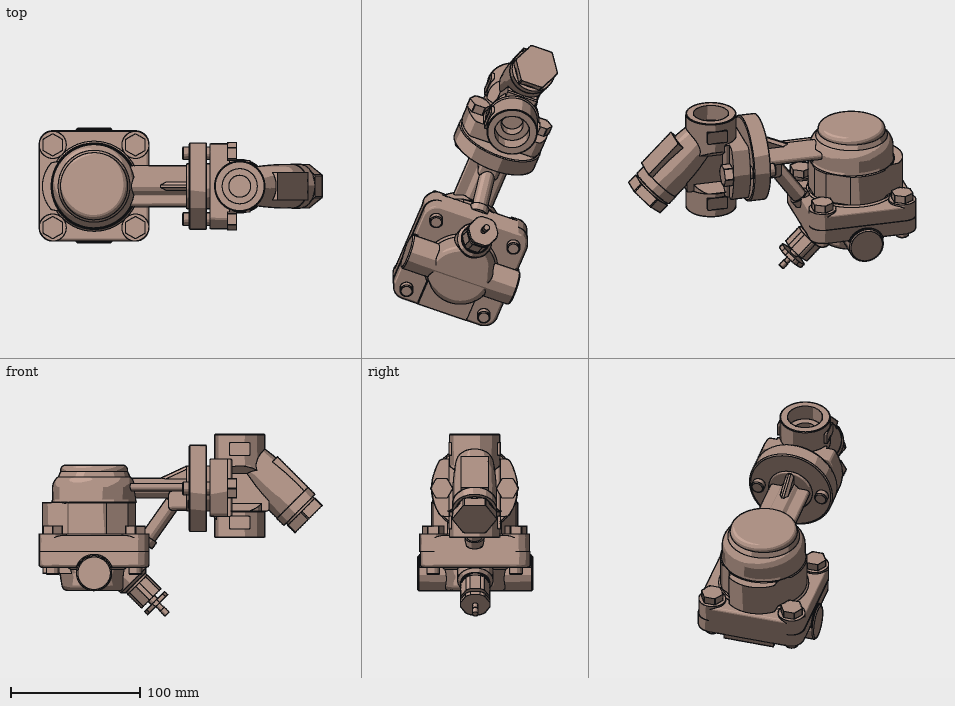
import cadquery as cq
import math


BOLT_PITCH = 64.0
FLANGE_CORNER_R = 10.5
FLANGE_SIDE = BOLT_PITCH + 2 * FLANGE_CORNER_R
UPPER_FLANGE_T = 12.4
LOWER_FLANGE_T = 12.0
FLANGE_EDGE_R = 2.0
PAD_TOP_Z = 13.8
LOWER_Y = 0.5

BOLT_HEX_AF = 15.0
BOLT_CORNER_D = 17.0
BOLT_D = 10.0
BOLT_HEAD_H = 6.0
BOLT_TIP_Z = -17.7
BOLT_TIP_CHAMFER = 0.8

BARREL_R = 33.5
BARREL_TOP_Z = 38.6
BARREL_RIM_CHAMFER = 0.8
BARREL_FOOT_R = 1.4
BARREL_MAX_X = 32.1
LOBE_TOP_Z = 38.0
LOBE_EDGE_R = 3.0
COVE_EDGE_R = 2.0
LOBE_R = 27.0
LOBE_X = -13.0
BOLT_COVE_R = 13.5
FLAT_START_X = 9.7
FLAT_END_X = 26.2
CAP_R = 32.2
CAP_BASE_Z = 40.4
SHOULDER_Z = 50.0
SHOULDER_TOP_R = 27.8
SHOULDER_TOP_Z = 58.0
SHOULDER_BULGE = 0.9
CROWN_R = 26.0
CROWN_BASE_Z = 62.0
CROWN_TOP_Z = 67.1
CROWN_EDGE_R = 4.0

BOWL_TOP_R = 27.0
BOWL_BOTTOM_R = 24.3
BOWL_BOTTOM_Z = -30.0
BOWL_EDGE_R = 4.5
BOWL_FLARE = 1.7
RIDGE_X = -39.7
RIDGE_WIDTH = 40.0
RIDGE_Z = -16.7
PIPE_END_D = 27.2
PIPE_END_LENGTH = 89.0
PIPE_END_CHAMFER = 1.0
PIPE_END_Z = -16.6
PIPE_COLLAR_R = 14.6
PIPE_COLLAR_PROUD = 0.7
PIPE_COLLAR_LENGTH = FLANGE_SIDE + 2 * PIPE_COLLAR_PROUD

BLOWDOWN_X = 33.6
BLOWDOWN_Z = -25.4
BLOWDOWN_BOSS_D = 27.4
BLOWDOWN_BOSS_START = -18.0
BLOWDOWN_BOSS_END = -2.1
BLOWDOWN_BOSS_CHAMFER = 2.4
BLOWDOWN_NECK_D = 21.0
BLOWDOWN_NUT_AF = 21.4
BLOWDOWN_NUT_CORNER_D = 22.8
BLOWDOWN_NUT_LENGTH = 15.1
HANDLE_AF = 22.0
HANDLE_CORNER_D = 23.2
HANDLE_START = 18.6
HANDLE_END = 22.1
STEM_D = 7.0
TIP_NECK_D = 4.0
TIP_NECK_END = 27.0
TIP_D = 4.6
LOWEST_Z = -49.85

HUB_Z = 49.0
ARM_Z = 49.2
ARM_D = 15.6
ARM_FILLET_R = 1.5
ARM_START_X = 20.0
HUB_START_X = 71.5
WING_WIDTH = 32.0
WING_T = 6.0
WING_Z = 49.9
GUSSET_START_X = 51.5
GUSSET_TOP_Z = 66.3
GUSSET_T = 6.4
GUSSET_CHAMFER = 2.3
BLOCK_START_X = 57.5
BLOCK_WIDTH = 16.0
BLOCK_BOTTOM_Z = 32.0
BLOCK_EDGE_R = 3.0
BRACE_D = 12.0
BRACE_FOOT_D = 15.0
BRACE_FOOT_LENGTH = 6.0
BRACE_TOP_X = 61.0
BRACE_TOP_Z = 38.0
BRACE_FOOT_X = 38.8
BRACE_FOOT_Z = 6.5

HUB_D = 35.0
HUB_EDGE_R = 1.0
ROUND_FLANGE_D = 67.0
ROUND_FLANGE_START_X = 73.6
ROUND_FLANGE_END_X = 87.1
ROUND_FLANGE_CHAMFER = 1.2
OVAL_START_X = 89.6
OVAL_END_X = 103.4
OVAL_WIDTH = 66.0
OVAL_FLAT_WIDTH = 52.8
OVAL_HEIGHT = 44.4
OVAL_CORNER_R = 4.0
OVAL_Z = 49.6
OVAL_EDGE_R = 1.0
JOINT_BOLT_PITCH = 51.0
JOINT_BOLT_TIP_X = 68.4
JOINT_BOLT_HEAD_H = 6.9

VALVE_X = 112.7
SPIGOT_D = 39.0
VALVE_TOP_Z = 91.11
VALVE_BOTTOM_Z = 11.0
SPIGOT_CHAMFER = 0.6
BODY_R = 20.8
BODY_WIDTH = 40.0
BODY_BOTTOM_Z = 31.5
BODY_STEP = 0.6
WAIST_HALF_WIDTH = 12.0
WAIST_BOTTOM_Z = 37.5
WAIST_TOP_Z = 60.4
WAIST_SLOPE_HEIGHT = 6.0
WAIST_LENGTH = 22.6
WAIST_CHAMFER = 1.0
SOCKET_D = 27.2
SOCKET_DEPTH = 12.5
PORT_D = 17.0
PORT_DEPTH = 22.0
LABEL_WIDTH = 16.0
LABEL_HEIGHT = 10.0
LABEL_CORNER_R = 1.2
LABEL_CENTRE_FROM_END = 11.6
BACK_PLATE_T = 3.3
BACK_PLATE_EDGE_R = 1.5
WEB_HALF_WIDTH = 8.0
WEB_HALF_HEIGHT = 25.0
WEB_SLOPE = 5.5

BRANCH_Z = 78.6
BRANCH_START = 4.0
BRANCH_START_R = 13.0
BRANCH_MID = 30.0
BRANCH_MID_R = 16.2
BRANCH_END_R = 16.8
COLLAR_START = 57.7
COLLAR_R = 17.1
COLLAR_END = 65.4
CAP_NECK_END = 67.4
CAP_NECK_R = 14.5
BRANCH_HEX_AF = 30.0
BRANCH_HEX_CORNER_D = 34.0
BRANCH_HEX_END = 75.4
BRANCH_PAD_START = 24.2
BRANCH_PAD_WIDTH = 21.4
BRANCH_PAD_OFFSET = 17.1
BRANCH_PAD_BASE = 6.0


def corner_diameter(across_flats):
    """Corner to corner diameter of a hexagon."""
    return across_flats / math.cos(math.pi / 6)


def cylinder_z(x, y, diameter, z0, z1):
    return cq.Workplane("XY", origin=(x, y, z0)).circle(diameter / 2).extrude(z1 - z0)


def cylinder_x(y, z, diameter, x0, x1):
    return cq.Workplane("YZ", origin=(x0, y, z)).circle(diameter / 2).extrude(x1 - x0)


def box(x0, x1, width, z0, z1):
    """Box between X and Z limits, centred on Y = 0."""
    return cq.Workplane("XY").box(x1 - x0, width, z1 - z0).translate(((x0 + x1) / 2, 0, (z0 + z1) / 2))


def diagonal_plane(x, z, along):
    """Plane square to the downward 45 degree axis through (x, z); its local X is the part's Y."""
    shift = along / math.sqrt(2)
    return cq.Plane(origin=(x + shift, 0, z - shift), xDir=(0, 1, 0), normal=(1, 0, -1))


def diagonal_cylinder(x, z, diameter, start, end):
    return cq.Workplane(diagonal_plane(x, z, start)).circle(diameter / 2).extrude(end - start)


def diagonal_hexagon(x, z, across_flats, corner_d, start, end):
    """Hexagon on the diagonal axis with its corners trimmed to a circle."""
    hexagon = (
        cq.Workplane(diagonal_plane(x, z, start))
        .polygon(6, corner_diameter(across_flats))
        .extrude(end - start)
    )
    return hexagon.intersect(diagonal_cylinder(x, z, corner_d, start, end))


def bolt_positions():
    half = BOLT_PITCH / 2
    return [(sx * half, sy * half) for sx in (-1, 1) for sy in (-1, 1)]


def bolt_head(plane, height):
    """Hexagon head whose corners are trimmed to a circle."""
    hexagon = plane.polygon(6, corner_diameter(BOLT_HEX_AF)).extrude(height)
    return hexagon.intersect(plane.circle(BOLT_CORNER_D / 2).extrude(height))


def flange_plate(thickness):
    plate = cq.Workplane("XY").rect(FLANGE_SIDE, FLANGE_SIDE).extrude(thickness)
    return plate.edges("|Z").fillet(FLANGE_CORNER_R)


def square_flanges():
    upper = flange_plate(UPPER_FLANGE_T).faces(">Z").edges().fillet(FLANGE_EDGE_R)
    for x, y in bolt_positions():
        upper = upper.union(cylinder_z(x, y, 2 * FLANGE_CORNER_R, 0, PAD_TOP_Z))
    lower = flange_plate(-LOWER_FLANGE_T).faces("<Z").edges().fillet(FLANGE_EDGE_R)
    return upper.union(lower.translate((0, LOWER_Y, 0)))


def flange_bolts():
    bolts = cq.Workplane("XY")
    for x, y in bolt_positions():
        shank = cylinder_z(x, y, BOLT_D, BOLT_TIP_Z, PAD_TOP_Z).faces("<Z").chamfer(BOLT_TIP_CHAMFER)
        head_plane = cq.Workplane(cq.Plane((x, y, PAD_TOP_Z), xDir=(0, 1, 0), normal=(0, 0, 1)))
        bolts = bolts.union(shank).union(bolt_head(head_plane, BOLT_HEAD_H))
    return bolts


def barrel():
    """Round barrel with a lobe on the -X side, coves around the -X bolts and flats by the +X bolts."""
    lobe = cylinder_z(LOBE_X, 0, 2 * LOBE_R, 0, LOBE_TOP_Z)
    shape = cylinder_z(0, 0, 2 * BARREL_R, 0, BARREL_TOP_Z)
    shape = shape.intersect(box(-BARREL_R, BARREL_MAX_X, 2 * BARREL_R, 0, BARREL_TOP_Z))
    flat_start_y = math.sqrt(BARREL_R**2 - FLAT_START_X**2)
    flat_end_y = math.sqrt(BARREL_R**2 - FLAT_END_X**2)
    for side in (-1, 1):
        cove = cylinder_z(-BOLT_PITCH / 2, side * BOLT_PITCH / 2, 2 * BOLT_COVE_R, 0, BARREL_TOP_Z)
        wedge = (
            cq.Workplane("XY")
            .moveTo(FLAT_START_X, side * flat_start_y)
            .lineTo(FLAT_END_X, side * flat_end_y)
            .lineTo(FLAT_END_X, side * 2 * BARREL_R)
            .lineTo(FLAT_START_X, side * 2 * BARREL_R)
            .close()
            .extrude(BARREL_TOP_Z)
        )
        shape = shape.cut(cove).cut(wedge)
        lobe = lobe.cut(cove)
    cove_side = cq.selectors.BoxSelector((-BARREL_R, -BARREL_R, 0), (-BARREL_R / 2, BARREL_R, BARREL_TOP_Z))
    shape = shape.edges("|Z").edges(cove_side).fillet(COVE_EDGE_R)
    shape = shape.faces(">Z").chamfer(BARREL_RIM_CHAMFER)
    outer_half = cq.selectors.BoxSelector((-BOLT_PITCH, -LOBE_R, 0), (2 * LOBE_X, LOBE_R, LOBE_TOP_Z))
    lobe = lobe.edges("|Z").edges(outer_half).fillet(LOBE_EDGE_R)
    foot_r = BARREL_R + BARREL_FOOT_R
    foot = (
        cq.Workplane("XZ")
        .moveTo(0, 0)
        .lineTo(foot_r, 0)
        .lineTo(foot_r, UPPER_FLANGE_T)
        .lineTo(BARREL_R, UPPER_FLANGE_T + BARREL_FOOT_R)
        .lineTo(0, UPPER_FLANGE_T + BARREL_FOOT_R)
        .close()
        .revolve(360, (0, 0, 0), (0, 1, 0))
    )
    return shape.union(lobe).union(foot)


def cap():
    """Stepped dome on top of the barrel."""
    shoulder_mid = (
        (CAP_R + SHOULDER_TOP_R) / 2 + SHOULDER_BULGE,
        (SHOULDER_Z + SHOULDER_TOP_Z) / 2 + SHOULDER_BULGE / 2,
    )
    return (
        cq.Workplane("XZ")
        .moveTo(0, 0)
        .lineTo(BARREL_R - BARREL_RIM_CHAMFER, BARREL_TOP_Z)
        .lineTo(CAP_R, CAP_BASE_Z)
        .lineTo(CAP_R, SHOULDER_Z)
        .threePointArc(shoulder_mid, (SHOULDER_TOP_R, SHOULDER_TOP_Z))
        .lineTo(CROWN_R, CROWN_BASE_Z)
        .lineTo(CROWN_R, CROWN_TOP_Z)
        .lineTo(0, CROWN_TOP_Z)
        .close()
        .revolve(360, (0, 0, 0), (0, 1, 0))
        .faces(">Z")
        .edges()
        .fillet(CROWN_EDGE_R)
    )


def lower_bowl():
    bowl = (
        cq.Workplane("XZ")
        .moveTo(0, 0)
        .lineTo(BOWL_TOP_R + BOWL_FLARE, 0)
        .lineTo(BOWL_TOP_R + BOWL_FLARE, -LOWER_FLANGE_T)
        .lineTo(BOWL_TOP_R, -LOWER_FLANGE_T - BOWL_FLARE)
        .lineTo(BOWL_BOTTOM_R, BOWL_BOTTOM_Z)
        .lineTo(0, BOWL_BOTTOM_Z)
        .close()
        .revolve(360, (0, 0, 0), (0, 1, 0))
        .faces("<Z")
        .edges()
        .fillet(BOWL_EDGE_R)
    )
    bowl = bowl.union(box(RIDGE_X, 0, RIDGE_WIDTH, RIDGE_Z, 0))
    pipe = (
        cq.Workplane("XZ", origin=(0, PIPE_END_LENGTH / 2, PIPE_END_Z))
        .circle(PIPE_END_D / 2)
        .extrude(PIPE_END_LENGTH)
        .edges()
        .chamfer(PIPE_END_CHAMFER)
    )
    collar = (
        cq.Workplane("XZ", origin=(0, PIPE_COLLAR_LENGTH / 2, PIPE_END_Z))
        .circle(PIPE_COLLAR_R)
        .extrude(PIPE_COLLAR_LENGTH)
        .intersect(cylinder_z(0, 0, 2 * PIPE_END_LENGTH, -LOWER_FLANGE_T, 0))
    )
    return bowl.union(pipe).union(collar).translate((0, LOWER_Y, 0))


def blowdown_valve():
    x, z = BLOWDOWN_X, BLOWDOWN_Z
    tip_end = (z - LOWEST_Z) * math.sqrt(2) - TIP_D / 2
    valve = diagonal_cylinder(x, z, BLOWDOWN_BOSS_D, BLOWDOWN_BOSS_START, BLOWDOWN_BOSS_END)
    valve = valve.faces(cq.DirectionMinMaxSelector(cq.Vector(1, 0, -1))).chamfer(BLOWDOWN_BOSS_CHAMFER)
    valve = valve.union(diagonal_cylinder(x, z, BLOWDOWN_NECK_D, BLOWDOWN_BOSS_END, 0))
    valve = valve.union(diagonal_hexagon(x, z, BLOWDOWN_NUT_AF, BLOWDOWN_NUT_CORNER_D, 0, BLOWDOWN_NUT_LENGTH))
    valve = valve.union(diagonal_cylinder(x, z, STEM_D, BLOWDOWN_NUT_LENGTH, HANDLE_END))
    valve = valve.union(diagonal_hexagon(x, z, HANDLE_AF, HANDLE_CORNER_D, HANDLE_START, HANDLE_END))
    valve = valve.union(diagonal_cylinder(x, z, TIP_NECK_D, HANDLE_END, TIP_NECK_END))
    valve = valve.union(diagonal_cylinder(x, z, TIP_D, TIP_NECK_END, tip_end))
    return valve.translate((0, LOWER_Y, 0))


def arm():
    """Round arm with rounded side wings, a top gusset, a lower block and a slanted brace."""
    wings = (
        cq.Workplane("YZ", origin=(ARM_START_X, 0, WING_Z))
        .slot2D(WING_WIDTH, WING_T)
        .extrude(HUB_START_X - ARM_START_X)
    )
    shape = cylinder_x(0, ARM_Z, ARM_D, ARM_START_X, HUB_START_X).union(wings)
    near_axis = cq.selectors.BoxSelector((0, -ARM_D / 2, 0), (HUB_START_X, ARM_D / 2, 2 * ARM_Z))
    shape = shape.edges("|X").edges(near_axis).fillet(ARM_FILLET_R)
    gusset = (
        cq.Workplane("XZ", origin=(0, GUSSET_T / 2, 0))
        .moveTo(GUSSET_START_X, ARM_Z)
        .lineTo(GUSSET_START_X, ARM_Z + ARM_D / 2)
        .lineTo(HUB_START_X, GUSSET_TOP_Z)
        .lineTo(HUB_START_X, ARM_Z)
        .close()
        .extrude(GUSSET_T)
    )
    gusset = gusset.faces(">Z").edges("not |Y").chamfer(GUSSET_CHAMFER)
    block = box(BLOCK_START_X, HUB_START_X, BLOCK_WIDTH, BLOCK_BOTTOM_Z, ARM_Z)
    block = block.faces("<X or <Z").edges("not >X").edges("not >Z").fillet(BLOCK_EDGE_R)
    run_x = BRACE_TOP_X - BRACE_FOOT_X
    run_z = BRACE_TOP_Z - BRACE_FOOT_Z
    brace_plane = cq.Plane(
        origin=(BRACE_FOOT_X, 0, BRACE_FOOT_Z), xDir=(0, 1, 0), normal=(run_x, 0, run_z)
    )
    brace = cq.Workplane(brace_plane).circle(BRACE_D / 2).extrude(math.hypot(run_x, run_z))
    foot = cq.Workplane(brace_plane).circle(BRACE_FOOT_D / 2).extrude(BRACE_FOOT_LENGTH)
    return shape.union(gusset).union(block).union(brace).union(foot)


def pipe_flanges():
    """Round flange, joint hub and the flat-topped oval flange of the valve."""
    hub = cylinder_x(0, HUB_Z, HUB_D, HUB_START_X, OVAL_END_X)
    round_flange = cylinder_x(0, HUB_Z, ROUND_FLANGE_D, ROUND_FLANGE_START_X, ROUND_FLANGE_END_X)
    round_flange = round_flange.edges().chamfer(ROUND_FLANGE_CHAMFER / 2, ROUND_FLANGE_CHAMFER)
    hub = hub.faces("<X").edges().fillet(HUB_EDGE_R)
    half_flat = OVAL_FLAT_WIDTH / 2
    half_height = OVAL_HEIGHT / 2
    oval = (
        cq.Workplane("YZ", origin=(OVAL_START_X, 0, OVAL_Z))
        .moveTo(-half_flat, -half_height)
        .lineTo(half_flat, -half_height)
        .threePointArc((OVAL_WIDTH / 2, 0), (half_flat, half_height))
        .lineTo(-half_flat, half_height)
        .threePointArc((-OVAL_WIDTH / 2, 0), (-half_flat, -half_height))
        .close()
        .extrude(OVAL_END_X - OVAL_START_X)
        .edges("|X")
        .fillet(OVAL_CORNER_R)
        .faces("<X")
        .edges()
        .fillet(OVAL_EDGE_R)
    )
    return hub.union(round_flange).union(oval)


def joint_bolts():
    bolts = cq.Workplane("XY")
    for side in (-1, 1):
        y = side * JOINT_BOLT_PITCH / 2
        shank = cylinder_x(y, HUB_Z, BOLT_D, JOINT_BOLT_TIP_X, OVAL_END_X)
        shank = shank.faces("<X").chamfer(BOLT_TIP_CHAMFER)
        head_plane = cq.Workplane("YZ", origin=(OVAL_END_X, y, HUB_Z))
        bolts = bolts.union(shank).union(bolt_head(head_plane, JOINT_BOLT_HEAD_H))
    return bolts


def valve_body():
    """Vertical body with two spigots, a flat-sided waist, label pads and a web to the oval flange."""
    spigot_r = SPIGOT_D / 2
    body = (
        cq.Workplane("XZ", origin=(VALVE_X, 0, 0))
        .moveTo(0, VALVE_BOTTOM_Z)
        .lineTo(spigot_r - SPIGOT_CHAMFER, VALVE_BOTTOM_Z)
        .lineTo(spigot_r, VALVE_BOTTOM_Z + SPIGOT_CHAMFER)
        .lineTo(spigot_r, BODY_BOTTOM_Z - BODY_STEP)
        .lineTo(BODY_R, BODY_BOTTOM_Z)
        .lineTo(BODY_R, WAIST_TOP_Z)
        .lineTo(spigot_r, WAIST_TOP_Z + WAIST_SLOPE_HEIGHT)
        .lineTo(spigot_r, VALVE_TOP_Z - SPIGOT_CHAMFER)
        .lineTo(spigot_r - SPIGOT_CHAMFER, VALVE_TOP_Z)
        .lineTo(0, VALVE_TOP_Z)
        .close()
        .revolve(360, (0, 0, 0), (0, 1, 0))
    )
    for side in (-1, 1):
        recess = (
            cq.Workplane("YZ", origin=(VALVE_X - BODY_R, 0, 0))
            .moveTo(side * spigot_r, WAIST_BOTTOM_Z - WAIST_SLOPE_HEIGHT)
            .lineTo(side * WAIST_HALF_WIDTH, WAIST_BOTTOM_Z)
            .lineTo(side * WAIST_HALF_WIDTH, WAIST_TOP_Z)
            .lineTo(side * spigot_r, WAIST_TOP_Z + WAIST_SLOPE_HEIGHT)
            .lineTo(side * 2 * spigot_r, WAIST_TOP_Z + WAIST_SLOPE_HEIGHT)
            .lineTo(side * 2 * spigot_r, WAIST_BOTTOM_Z - WAIST_SLOPE_HEIGHT)
            .close()
            .extrude(2 * BODY_R)
        )
        body = body.cut(recess)
    waist = box(VALVE_X, VALVE_X + WAIST_LENGTH, 2 * WAIST_HALF_WIDTH, BODY_BOTTOM_Z, WAIST_TOP_Z)
    body = body.union(waist.edges("|Y and >X and <Z").chamfer(WAIST_CHAMFER))
    for z in (VALVE_TOP_Z - LABEL_CENTRE_FROM_END, VALVE_BOTTOM_Z + LABEL_CENTRE_FROM_END):
        label = (
            cq.Workplane("XZ", origin=(VALVE_X, BODY_WIDTH / 2, z))
            .rect(LABEL_WIDTH, LABEL_HEIGHT)
            .extrude(BODY_WIDTH)
            .edges("|Y")
            .fillet(LABEL_CORNER_R)
        )
        body = body.union(label)
    back_plate = (
        box(
            OVAL_END_X,
            OVAL_END_X + BACK_PLATE_T,
            BODY_WIDTH,
            OVAL_Z - OVAL_HEIGHT / 2,
            OVAL_Z + OVAL_HEIGHT / 2,
        )
        .faces(">X")
        .edges()
        .fillet(BACK_PLATE_EDGE_R)
    )
    web = (
        cq.Workplane("XZ", origin=(0, WEB_HALF_WIDTH, 0))
        .moveTo(OVAL_START_X, OVAL_Z)
        .lineTo(OVAL_START_X, OVAL_Z - WEB_HALF_HEIGHT + WEB_SLOPE)
        .lineTo(OVAL_START_X + WEB_SLOPE, OVAL_Z - WEB_HALF_HEIGHT)
        .lineTo(VALVE_X, OVAL_Z - WEB_HALF_HEIGHT)
        .lineTo(VALVE_X, OVAL_Z)
        .close()
        .extrude(2 * WEB_HALF_WIDTH)
    )
    return body.union(back_plate).union(web)


def strainer_branch():
    x, z = VALVE_X, BRANCH_Z
    plane = cq.Plane(origin=(x, 0, z), xDir=(1, 0, 1), normal=(0, -1, 0))
    profile = (
        cq.Workplane(plane)
        .moveTo(0, -BRANCH_START)
        .lineTo(BRANCH_START_R, -BRANCH_START)
        .threePointArc((BRANCH_MID_R, -BRANCH_MID), (BRANCH_END_R, -COLLAR_START))
        .lineTo(COLLAR_R, -COLLAR_START)
        .lineTo(COLLAR_R, -COLLAR_END)
        .lineTo(CAP_NECK_R, -COLLAR_END)
        .lineTo(CAP_NECK_R, -BRANCH_HEX_END)
        .lineTo(0, -BRANCH_HEX_END)
        .close()
        .revolve(360, (0, 0, 0), (0, 1, 0))
    )
    hexagon = diagonal_hexagon(x, z, BRANCH_HEX_AF, BRANCH_HEX_CORNER_D, CAP_NECK_END, BRANCH_HEX_END)
    pad_height = BRANCH_PAD_OFFSET - BRANCH_PAD_BASE
    pad = (
        cq.Workplane(diagonal_plane(x, z, BRANCH_PAD_START))
        .center(0, BRANCH_PAD_BASE + pad_height / 2)
        .rect(BRANCH_PAD_WIDTH, pad_height)
        .extrude(COLLAR_START - BRANCH_PAD_START)
    )
    return profile.union(hexagon).union(pad)


def sockets(shape):
    """Stepped blind bores in both ends of the valve body."""
    for end_z, inward in ((VALVE_TOP_Z, -1), (VALVE_BOTTOM_Z, 1)):
        shape = shape.cut(cylinder_z(VALVE_X, 0, SOCKET_D, end_z, end_z + inward * SOCKET_DEPTH))
        shape = shape.cut(cylinder_z(VALVE_X, 0, PORT_D, end_z, end_z + inward * PORT_DEPTH))
    return shape


assembly = square_flanges()
for piece in (
    barrel(),
    cap(),
    lower_bowl(),
    flange_bolts(),
    blowdown_valve(),
    arm(),
    pipe_flanges(),
    joint_bolts(),
    valve_body(),
    strainer_branch(),
):
    assembly = assembly.union(piece)

result = sockets(assembly)